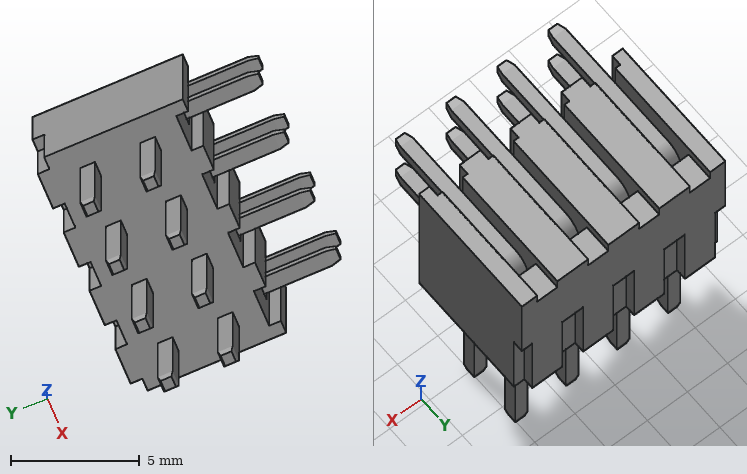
import cadquery as cq
import math


position_count = 4
overall_width = 10.16
pitch = overall_width / position_count
body_depth = 6.35
overall_depth = 9.1
overall_height = 13.4
body_height = 7.41

step_depth = 0.5
front_recess_width = 1.5
rear_notch_height = body_height / 2
divider_width = pitch - front_recess_width

slot_width = 1.0
slot_depth_from_top = 3.99
rear_wall_thickness = 1.33
rear_wall_drop = 0.5

pin_size = 0.63
tip_size = 0.45
tip_length = 0.4
outer_bend_radius = 0.8
inner_bend_radius = outer_bend_radius - pin_size
rear_leg_offset = 1.92
upper_pin_drop = 0.98
pin_front_y = -overall_depth
pin_bottom_z = body_height - overall_height
tip_taper = math.degrees(math.atan((pin_size - tip_size) / 2 / tip_length))


def block(x_min, x_max, y_min, y_max, z_min, z_max):
    """Box between the given limits."""
    size = (x_max - x_min, y_max - y_min, z_max - z_min)
    return cq.Workplane("XY").box(*size, centered=False).translate((x_min, y_min, z_min))


def position_cuts(x):
    """Front recess and stepped pin slot centred on x."""
    half_recess = front_recess_width / 2
    half_slot = slot_width / 2
    recess = block(x - half_recess, x + half_recess, -body_depth, step_depth - body_depth, 0, body_height)
    slot = block(
        x - half_slot, x + half_slot,
        -body_depth, -rear_wall_thickness,
        body_height - slot_depth_from_top, body_height,
    )
    wall_top = block(
        x - half_slot, x + half_slot,
        -rear_wall_thickness, 0,
        body_height - rear_wall_drop, body_height,
    )
    return recess.union(slot).union(wall_top)


def rear_notch(x):
    """Notch low in the rear face, in line with the divider centred on x."""
    half_width = divider_width / 2
    return block(x - half_width, x + half_width, -step_depth, 0, 0, rear_notch_height)


def bent_pin(x, leg_y, leg_z):
    """Square pin with a vertical leg at leg_y, a horizontal leg at leg_z and tapered tips."""
    half = pin_size / 2
    rear_y = leg_y + half
    top_z = leg_z + half
    bend_y = rear_y - outer_bend_radius
    bend_z = top_z - outer_bend_radius
    diagonal = math.sqrt(0.5)
    outer_mid = (bend_y + outer_bend_radius * diagonal, bend_z + outer_bend_radius * diagonal)
    inner_mid = (bend_y + inner_bend_radius * diagonal, bend_z + inner_bend_radius * diagonal)
    front_shoulder = pin_front_y + tip_length
    bottom_shoulder = pin_bottom_z + tip_length

    shank = (
        cq.Workplane("YZ", origin=(x - half, 0, 0))
        .moveTo(front_shoulder, top_z)
        .lineTo(bend_y, top_z)
        .threePointArc(outer_mid, (rear_y, bend_z))
        .lineTo(rear_y, bottom_shoulder)
        .lineTo(leg_y - half, bottom_shoulder)
        .lineTo(leg_y - half, bend_z)
        .threePointArc(inner_mid, (bend_y, leg_z - half))
        .lineTo(front_shoulder, leg_z - half)
        .close()
        .extrude(pin_size)
    )
    front_tip = pin_tip((x, front_shoulder, leg_z), (0, -1, 0))
    bottom_tip = pin_tip((x, leg_y, bottom_shoulder), (0, 0, -1))
    return shank.union(front_tip).union(bottom_tip)


def pin_tip(base, direction):
    """Tapered pin end that starts at base and points along direction."""
    plane = cq.Plane(origin=base, xDir=(1, 0, 0), normal=direction)
    return cq.Workplane(plane).rect(pin_size, pin_size).extrude(tip_length, taper=tip_taper)


result = block(0, overall_width, -body_depth, 0, 0, body_height)

for index in range(position_count + 1):
    result = result.cut(rear_notch(index * pitch))

for index in range(position_count):
    result = result.cut(position_cuts((index + 0.5) * pitch))

for index in range(position_count):
    for row in range(2):
        leg_y = -rear_leg_offset - row * pitch
        leg_z = body_height - upper_pin_drop - row * pitch
        result = result.union(bent_pin((index + 0.5) * pitch, leg_y, leg_z))